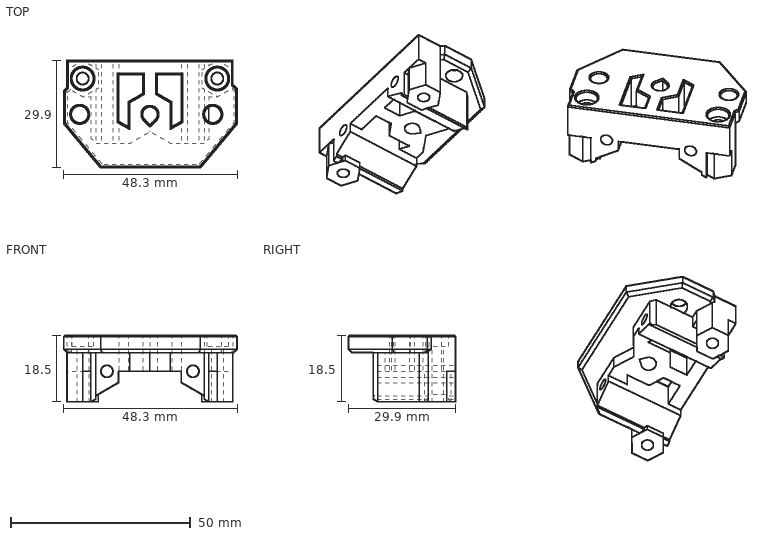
import cadquery as cq
import math

SLOPE = math.tan(math.radians(30))

total_height = 18.5
plate_bottom = 13.65
bridge_bottom = 8.5

plate_left = -24.0
plate_right = 24.3
plate_front = -29.9
plate_side_front = -17.6
plate_corner = 10.25
left_step_front = -8.45
right_step_front = -7.9
plate_bottom_chamfer = 1.0
top_chamfer = 0.4

pillar_x = 18.75
pillar_flats = 8.75
pillar_radius = pillar_flats / math.sqrt(3)
pillar_y = -pillar_radius
body_half_width = pillar_x + pillar_flats / 2
screw_diameter = 3.3
counterbore_diameter = 6.0
counterbore_depth = 3.0

leg_outer = 16.4
leg_inner = 8.7
leg_front = -23.0
leg_corner_chamfer = 1.3
leg_step_x = leg_outer - leg_corner_chamfer
leg_tip_height = 5.35
cross_hole_x = 11.95
valley_half_width = 5.6

boss_y = -15.0
boss_half_width = 6.05
neck_half_width = 2.0
window_rear = -3.95
teardrop_radius = 2.1
access_diameter = 4.7
access_left_x = -19.55
access_right_x = 17.5


def prism(points, bottom, top):
    """Upright prism over an XY outline."""
    return cq.Workplane("XY").workplane(offset=bottom).polyline(points).close().extrude(top - bottom)


def mirrored(points):
    """Closed outline made of the points for +X and their mirror images."""
    return points + [(-x, y) for x, y in reversed(points)]


def cylinder(x, y, diameter, bottom):
    """Upright cylinder reaching the top of the part."""
    base = cq.Workplane("XY").workplane(offset=bottom).center(x, y)
    return base.circle(diameter / 2).extrude(total_height - bottom)


def cover_plate():
    left_step = -body_half_width - plate_left
    right_step = plate_right - body_half_width
    outline = [
        (-body_half_width, 0),
        (-body_half_width, left_step_front + left_step),
        (plate_left, left_step_front),
        (plate_left, plate_side_front),
        (plate_left + plate_corner, plate_front),
        (plate_right - plate_corner, plate_front),
        (plate_right, plate_side_front),
        (plate_right, right_step_front),
        (body_half_width, right_step_front + right_step),
        (body_half_width, 0),
    ]
    plate = prism(outline, plate_bottom, total_height)
    return plate.faces("<Z").edges().chamfer(plate_bottom_chamfer)


def rear_block():
    """Full-width block over the pillars, following their outer front faces."""
    right_side = [
        (body_half_width, 0),
        (body_half_width, pillar_y - pillar_radius / 2),
        (pillar_x, pillar_y - pillar_radius),
    ]
    return prism(mirrored(right_side), bridge_bottom, total_height)


def legs():
    """Two legs joined by a bridge, with a V-shaped valley in the front."""
    right_side = [
        (leg_outer, 0),
        (leg_outer, leg_front + leg_corner_chamfer),
        (leg_step_x, leg_front),
        (valley_half_width, leg_front),
        (0, leg_front + valley_half_width * SLOPE),
    ]
    left_side = [(-x, y) for x, y in reversed(right_side[:-1])]
    body = prism(right_side + left_side, 0, plate_bottom)

    underside = mirrored([
        (leg_outer, 0),
        (leg_step_x, (leg_outer - leg_step_x) * SLOPE),
        (leg_step_x, leg_tip_height - (leg_step_x - leg_inner) * SLOPE),
        (leg_inner, leg_tip_height),
        (leg_inner, bridge_bottom),
    ])
    gap = cq.Workplane("XZ").polyline(underside).close().extrude(-leg_front)
    return body.cut(gap)


def pillar(x):
    hexagon = cq.Workplane("XY").center(x, pillar_y).polygon(6, 2 * pillar_radius)
    return hexagon.extrude(bridge_bottom).rotate((x, pillar_y, 0), (x, pillar_y, 1), 30)


def window(side):
    """Slot between a leg and the hexagonal boss; side is 1 for +X and -1 for -X."""
    boss_side = boss_half_width * SLOPE
    outline = [
        (neck_half_width, window_rear),
        (neck_half_width, boss_y + boss_side + (boss_half_width - neck_half_width) * SLOPE),
        (boss_half_width, boss_y + boss_side),
        (boss_half_width, boss_y - boss_side),
        (leg_inner, boss_y - boss_side + (leg_inner - boss_half_width) * SLOPE),
        (leg_inner, window_rear),
    ]
    return prism([(side * x, y) for x, y in outline], 0, total_height)


def teardrop():
    """Round hole with a 90 degree point toward the front."""
    tangent = teardrop_radius / math.sqrt(2)
    profile = (
        cq.Workplane("XY")
        .moveTo(tangent, boss_y - tangent)
        .threePointArc((0, boss_y + teardrop_radius), (-tangent, boss_y - tangent))
        .lineTo(0, boss_y - 2 * tangent)
        .close()
    )
    return profile.extrude(total_height)


def cross_hole(x):
    start = cq.Workplane("XZ").center(x, bridge_bottom)
    return start.circle(screw_diameter / 2).extrude(-leg_front)


result = cover_plate().union(rear_block()).union(legs())
for side in (-1, 1):
    result = result.union(pillar(side * pillar_x))
for side in (-1, 1):
    result = result.cut(window(side))
    result = result.cut(cross_hole(side * cross_hole_x))
    result = result.cut(cylinder(side * pillar_x, pillar_y, screw_diameter, 0))
    counterbore_floor = total_height - counterbore_depth
    result = result.cut(cylinder(side * pillar_x, pillar_y, counterbore_diameter, counterbore_floor))
for x in (access_left_x, access_right_x):
    result = result.cut(cylinder(x, boss_y, access_diameter, plate_bottom))
result = result.cut(teardrop())

result = result.faces(">Z").edges().chamfer(top_chamfer)